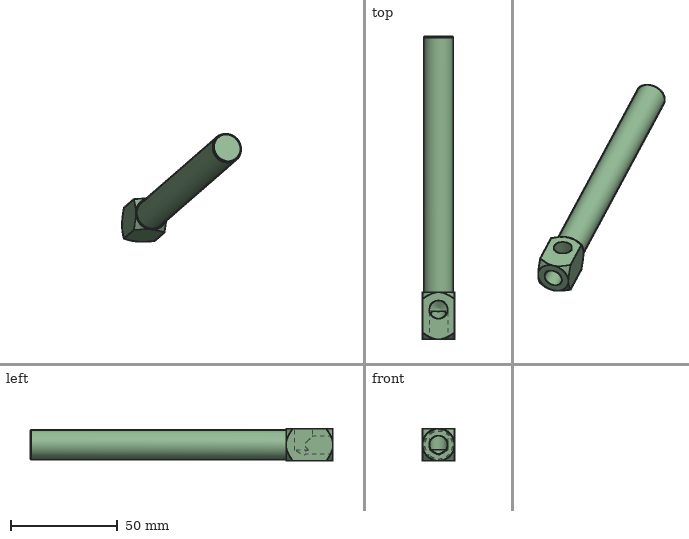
import cadquery as cq
import math

total_length = 142.0

head_width = 15.0
head_length = 22.0
front_y = -total_length / 2
head_back_y = front_y + head_length
face_circle_radius = head_width / 2
corner_radius = head_width / math.sqrt(2)
corner_chamfer = corner_radius - face_circle_radius

bore_diameter = 8.5
bore_radius = bore_diameter / 2
axial_bore_depth = 13.0
cross_bore_y = front_y + 13.9
cross_bore_shoulder_z = -2.3
drill_point_angle = 118.0
drill_point_depth = bore_radius / math.tan(math.radians(drill_point_angle / 2))

rod_diameter = 14.0
rod_length = total_length - head_length
rod_end_chamfer = 0.5


def cylinder_along_y(radius, start_y, length):
    """Round bar on the Y axis, running towards +Y from start_y."""
    return cq.Workplane("XZ", origin=(0, start_y, 0)).circle(radius).extrude(-length)


def make_head_blank():
    """Square bar whose corners are turned to a 45 degree cone at both ends."""
    square_bar = cq.Workplane("XZ", origin=(0, front_y, 0)).rect(head_width, head_width).extrude(-head_length)
    turned_bar = cylinder_along_y(corner_radius, front_y, head_length)
    turned_envelope = turned_bar.faces("<Y or >Y").chamfer(corner_chamfer)
    return square_bar.intersect(turned_envelope)


def make_axial_bore():
    """Flat-ended bore from the front face that opens into the cross bore."""
    return cylinder_along_y(bore_radius, front_y, axial_bore_depth)


def make_cross_bore():
    """Blind bore from the top face, with a conical drill point."""
    top_z = head_width / 2
    half_profile = (
        cq.Workplane("XZ", origin=(0, cross_bore_y, 0))
        .moveTo(0, top_z)
        .lineTo(bore_radius, top_z)
        .lineTo(bore_radius, cross_bore_shoulder_z)
        .lineTo(0, cross_bore_shoulder_z - drill_point_depth)
        .close()
    )
    return half_profile.revolve(360, (0, 0, 0), (0, 1, 0))


def make_head():
    return make_head_blank().cut(make_axial_bore()).cut(make_cross_bore())


def make_rod():
    """Plain rod against the back face of the head, chamfered at its free end."""
    return cylinder_along_y(rod_diameter / 2, head_back_y, rod_length).faces(">Y").chamfer(rod_end_chamfer)


head = make_head()
rod = make_rod()

result = cq.Compound.makeCompound([head.val(), rod.val()])